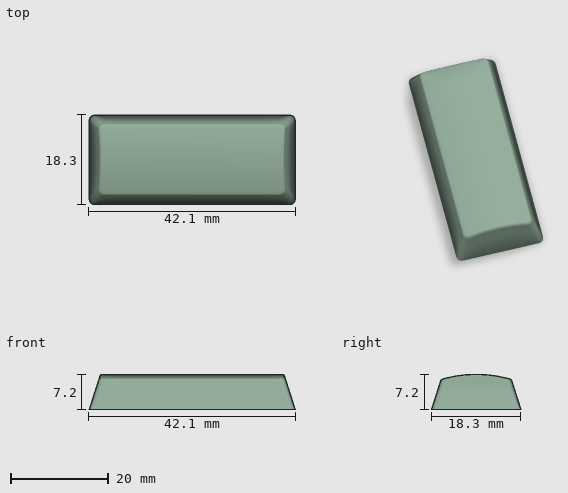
import cadquery as cq

base_length = 42.11
base_width = 18.3
height = 7.2
wall_angle = 17.75
crown_radius = 25.0
corner_radius = 1.25
rim_radius = 0.6


def tapered_block():
    """Rectangular block whose four walls lean inward equally."""
    return cq.Workplane("XY").rect(base_length, base_width).extrude(height, taper=wall_angle)


def round_corners(body):
    """Round the four leaning edges where neighbouring walls meet."""
    leaning_edges = body.edges("not(#Z)")
    return leaning_edges.fillet(corner_radius)


def crown_cylinder():
    """Cylinder along X whose highest line touches the full height."""
    return (
        cq.Workplane("YZ")
        .center(0, height - crown_radius)
        .circle(crown_radius)
        .extrude(base_length / 2, both=True)
    )


def round_rim(body):
    """Round the closed loop of edges around the crowned top."""
    return body.faces(">Z").edges().fillet(rim_radius)


body = round_corners(tapered_block())
body = body.intersect(crown_cylinder())
result = round_rim(body)